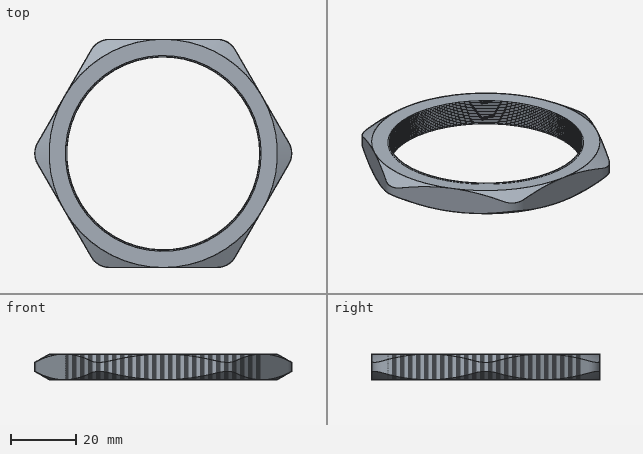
import cadquery as cq
import math

across_corners = 79.0
across_flats = 70.1
height = 7.9
chamfer_angle = 30.0

bore_radius = 29.6
groove_count = 15
flank_angle = 30.0

flat_distance = across_flats / 2
half_corner_turn = math.radians(30)
sharp_corner_radius = flat_distance / math.cos(half_corner_turn)
corner_overhang = sharp_corner_radius - across_corners / 2
corner_fillet = corner_overhang / (1 / math.cos(half_corner_turn) - 1)

groove_pitch = height / groove_count
groove_depth = groove_pitch / 2 / math.tan(math.radians(flank_angle))


def hexagon_body():
    prism = cq.Workplane("XY").polygon(6, 2 * sharp_corner_radius).extrude(height)
    return prism.edges("|Z").fillet(corner_fillet)


def chamfer_envelope():
    """Double cone whose end circles touch the six flats."""
    drop = (sharp_corner_radius - flat_distance) * math.tan(math.radians(chamfer_angle))
    profile = [
        (0, 0),
        (flat_distance, 0),
        (sharp_corner_radius, drop),
        (sharp_corner_radius, height - drop),
        (flat_distance, height),
        (0, height),
    ]
    return cq.Workplane("XZ").polyline(profile).close().revolve(360, (0, 0), (0, 1))


def grooved_bore():
    """Solid of the opening: a cylinder ringed by equal V-shaped ridges."""
    profile = [(0, 0), (bore_radius, 0)]
    for index in range(groove_count):
        groove_bottom = index * groove_pitch
        profile.append((bore_radius + groove_depth, groove_bottom + groove_pitch / 2))
        profile.append((bore_radius, groove_bottom + groove_pitch))
    profile.append((0, height))
    return cq.Workplane("XZ").polyline(profile).close().revolve(360, (0, 0), (0, 1))


result = hexagon_body().intersect(chamfer_envelope()).cut(grooved_bore())